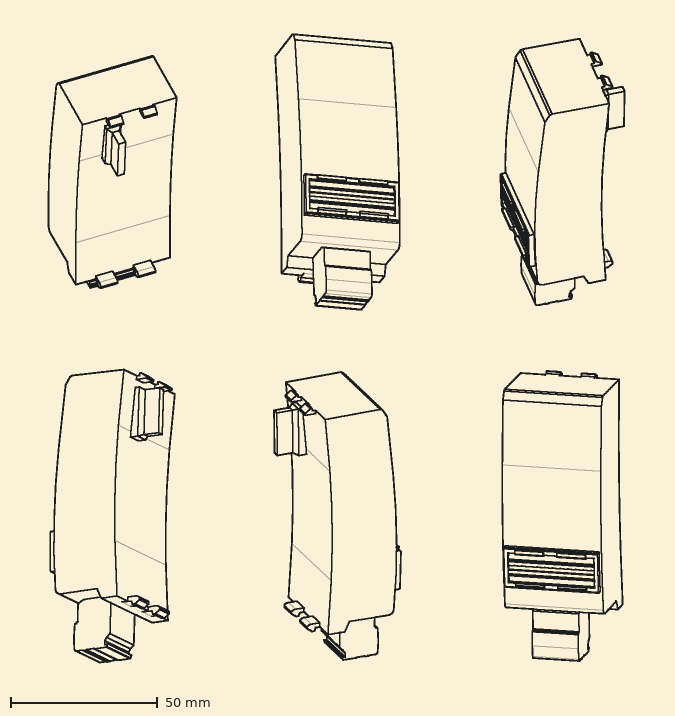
import cadquery as cq

LEAN_ANGLE = 1.25

HOUSING_WIDTH = 34.9
HOUSING_TOP = 95.1
HOUSING_TOP_FRONT = 9.5
HOUSING_TOP_BACK = 29.8
HOUSING_TOP_DROP = 0.6
HOUSING_BOTTOM = 18.2
HOUSING_FOOT = 14.6
CORNER_DIAMETER = 4.2

TOP_HOOK_WIDTH = 4.9
TOP_HOOK_CENTER = 6.2
BOTTOM_HOOK_WIDTH = 6.3
BOTTOM_HOOK_CENTER = 7.0

CONNECTOR_Y = -6.2
SOCKET_WIDTH = 5.35
BLADE_WIDTH = 2.6
SOCKET_BACK = 30.75
BLADE_ROOT = 32.4
BLADE_TIP = 38.1
SOCKET_Z = (73.0, 90.3)
BLADE_Z = (73.7, 89.6)
CONNECTOR_INNER = 25.8
CONNECTOR_LEAN = 1.2

PLATE_WIDTH = 33.1
PLATE_FACE = 1.05
PLATE_BACK = 4.8
PLATE_MIDDLE = 34.0
PLATE_HEIGHT = 14.3
PLATE_EDGE = 0.4
PLATE_LEAN = 1.0
WINDOW_WIDTH = 30.5
WINDOW_HEIGHT = 10.7
WINDOW_DEPTH = 1.5
GROOVE_OUTER = 3.0
GROOVE_INNER = 2.2
FLANK_RISE = 1.05
BAR_RISE = 1.3
MIDDLE_GROOVE = 0.81
MIDDLE_GROOVE_DEPTH = 0.8

CLIP_WIDTH = 10.0
CLIP_CENTER = 7.45
CLIP_HEIGHT = 1.6
CLIP_LENGTH = 1.0
CLIP_ROOT = 0.4
CLIP_OFFSET = 5.9
UPPER_CLIP_BEVEL = 0.4
LOWER_CLIP_BEVEL = 0.9

PLUG_WIDTH = 16.3
PLUG_CENTER = 0.43
PLUG_BOTTOM = 0.16
PLUG_CORNER = 1.0
PLUG_FOOT_HEIGHT = 0.2
PLUG_FEET = ((9.4, 10.5), (13.7, 18.5))


def across(profile, width, center=0.0):
    """Extrude a profile drawn in XZ by width along Y, centred on the given Y."""
    return profile.extrude(width / 2, both=True).translate((0, center, 0))


def outline(points):
    return cq.Workplane("XZ").polyline(points).close()


def make_housing():
    profile = (
        cq.Workplane("XZ")
        .moveTo(HOUSING_TOP_FRONT, HOUSING_TOP)
        .lineTo(HOUSING_TOP_BACK, HOUSING_TOP - HOUSING_TOP_DROP)
        .lineTo(27.9, 75.1)
        .threePointArc((26.8, 53.5), (27.0, 34.4))
        .lineTo(28.1, HOUSING_FOOT)
        .lineTo(21.9, HOUSING_FOOT)
        .lineTo(20.15, HOUSING_BOTTOM)
        .lineTo(3.9, HOUSING_BOTTOM)
        .threePointArc((3.0, 44.9), (4.4, 69.7))
        .lineTo(6.9, 92.1)
        .lineTo(8.6, 94.7)
        .close()
    )
    housing = across(profile, HOUSING_WIDTH)
    front_corner = cq.selectors.NearestToPointSelector((3.9, 0, HOUSING_BOTTOM))
    return housing.edges(front_corner).fillet(CORNER_DIAMETER / 2)


def housing_top_at(x):
    """Height of the gently falling top face at a given X."""
    fall = HOUSING_TOP_DROP / (HOUSING_TOP_BACK - HOUSING_TOP_FRONT)
    return HOUSING_TOP - fall * (x - HOUSING_TOP_FRONT)


def top_hook_profile():
    """Shelf flush with the top face, ending in an upturned barb."""
    root = 27.7
    notch = 30.8
    underside = 93.2
    return outline([
        (root, housing_top_at(root)),
        (notch, housing_top_at(notch)),
        (30.9, 95.3),
        (31.5, 95.3),
        (33.5, 93.9),
        (33.7, 93.6),
        (33.5, underside),
        (root, underside),
    ])


def bottom_hook_profile():
    """Shelf with a rounded nose and a downturned barb."""
    root = 25.8
    return (
        cq.Workplane("XZ")
        .moveTo(root, 16.0)
        .lineTo(31.1, 16.0)
        .tangentArcPoint((32.8, 15.2), relative=False)
        .lineTo(32.7, 14.5)
        .lineTo(30.9, 13.3)
        .lineTo(30.0, 13.3)
        .lineTo(29.5, 14.4)
        .lineTo(root, 14.6)
        .close()
    )


def make_hooks():
    hooks = []
    for side in (1, -1):
        hooks.append(across(top_hook_profile(), TOP_HOOK_WIDTH, side * TOP_HOOK_CENTER))
        hooks.append(across(bottom_hook_profile(), BOTTOM_HOOK_WIDTH, side * BOTTOM_HOOK_CENTER))
    return hooks


def make_connector():
    """Socket block that tapers to a thin blade, pointing out along X."""
    socket_height = SOCKET_Z[1] - SOCKET_Z[0]
    blade_height = BLADE_Z[1] - BLADE_Z[0]
    middle_z = (SOCKET_Z[0] + SOCKET_Z[1]) / 2

    def section(x, width, height):
        return cq.Workplane("YZ", origin=(x, CONNECTOR_Y, middle_z)).rect(width, height)

    socket = section(CONNECTOR_INNER, SOCKET_WIDTH, socket_height).extrude(SOCKET_BACK - CONNECTOR_INNER)
    taper = (
        section(SOCKET_BACK, SOCKET_WIDTH, socket_height)
        .workplane(offset=BLADE_ROOT - SOCKET_BACK)
        .rect(BLADE_WIDTH, blade_height)
        .loft(combine=True)
    )
    blade = section(BLADE_ROOT, BLADE_WIDTH, blade_height).extrude(BLADE_TIP - BLADE_ROOT)
    connector = socket.union(taper).union(blade)
    pivot = (SOCKET_BACK, 0, middle_z)
    return connector.rotate(pivot, (SOCKET_BACK, 1, middle_z), CONNECTOR_LEAN)


def make_window():
    """Recess cutter: its floor keeps two sloped flanks and a grooved bar between them."""
    floor = PLATE_FACE + WINDOW_DEPTH
    flank = floor - FLANK_RISE
    bar = floor - BAR_RISE
    half = [
        (floor, WINDOW_HEIGHT / 2),
        (flank, GROOVE_OUTER),
        (floor, GROOVE_OUTER),
        (floor, GROOVE_INNER),
        (bar, GROOVE_INNER),
        (bar, MIDDLE_GROOVE),
        (bar + MIDDLE_GROOVE_DEPTH, MIDDLE_GROOVE),
    ]
    upper = [(x, PLATE_MIDDLE + z) for x, z in half]
    lower = [(x, PLATE_MIDDLE - z) for x, z in reversed(half)]
    mouth = [
        (PLATE_FACE - 1, PLATE_MIDDLE - WINDOW_HEIGHT / 2),
        (PLATE_FACE - 1, PLATE_MIDDLE + WINDOW_HEIGHT / 2),
    ]
    return across(outline(upper + lower + mouth), WINDOW_WIDTH)


def make_cover_plate():
    plate = (
        cq.Workplane("XY")
        .box(PLATE_BACK - PLATE_FACE, PLATE_WIDTH, PLATE_HEIGHT)
        .translate(((PLATE_FACE + PLATE_BACK) / 2, 0, PLATE_MIDDLE))
        .edges("<X and |Y")
        .chamfer(PLATE_EDGE)
        .cut(make_window())
    )
    clip_x = PLATE_FACE + (CLIP_ROOT - CLIP_LENGTH) / 2
    for level, bevel in ((1, UPPER_CLIP_BEVEL), (-1, LOWER_CLIP_BEVEL)):
        for side in (1, -1):
            clip = (
                cq.Workplane("XY")
                .box(CLIP_LENGTH + CLIP_ROOT, CLIP_WIDTH, CLIP_HEIGHT)
                .edges("<X and <Z")
                .chamfer(bevel)
                .translate((clip_x, side * CLIP_CENTER, PLATE_MIDDLE + level * CLIP_OFFSET))
            )
            plate = plate.union(clip)
    pivot = (PLATE_FACE, 0, PLATE_MIDDLE)
    return plate.rotate(pivot, (PLATE_FACE, 1, PLATE_MIDDLE), -PLATE_LEAN)


def make_plug():
    top = HOUSING_BOTTOM + 1.9
    sole = PLUG_BOTTOM + PLUG_FOOT_HEIGHT
    front = 5.8
    back = 20.15
    neck_front = 7.1
    neck_back = 9.55
    profile = (
        cq.Workplane("XZ")
        .moveTo(neck_back, top)
        .lineTo(neck_back, HOUSING_BOTTOM)
        .lineTo(neck_front, 17.1)
        .lineTo(neck_front, 10.7)
        .lineTo(6.5, 10.5)
        .lineTo(6.5, 10.1)
        .lineTo(5.9, 10.0)
        .lineTo(5.6, 5.2)
        .lineTo(front, sole + PLUG_CORNER)
        .radiusArc((front + PLUG_CORNER, sole), -PLUG_CORNER)
        .lineTo(18.6, sole)
        .lineTo(19.0, 1.3)
        .lineTo(17.9, 1.0)
        .lineTo(17.9, 2.5)
        .lineTo(18.5, 3.6)
        .lineTo(19.9, 4.8)
        .lineTo(back, HOUSING_BOTTOM)
        .lineTo(back, top)
        .close()
    )
    plug = across(profile, PLUG_WIDTH, PLUG_CENTER)
    for foot_front, foot_back in PLUG_FEET:
        foot = cq.Workplane("XY").box(
            foot_back - foot_front, PLUG_WIDTH, PLUG_CORNER, centered=(False, True, False)
        )
        plug = plug.union(foot.translate((foot_front, PLUG_CENTER, PLUG_BOTTOM)))
    return plug


module = make_housing()
for feature in [*make_hooks(), make_connector(), make_cover_plate(), make_plug()]:
    module = module.union(feature)

result = module.rotate((0, 0, 0), (1, 0, 0), -LEAN_ANGLE)